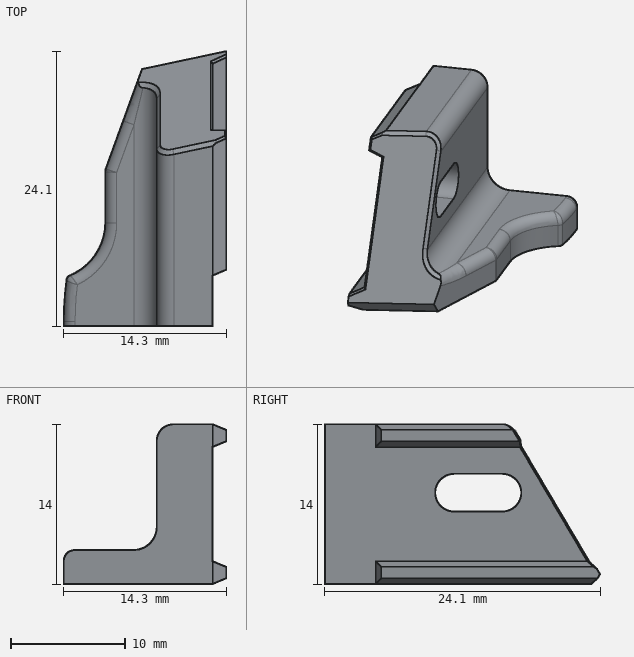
import cadquery as cq
import math

length = 24.1
height = 14.0
back_x = 13.05
wall_thickness = 4.91
flange_thickness = 2.99
wall_x = back_x - wall_thickness
top_radius = 1.5
inner_radius = 2.0
edge_radius = 0.99

nose_straight = 0.43
nose_lean = 0.3
nose_corner_radius = 0.48
waist_x = 3.64
waist_start_y = 9.05
waist_end_y = 13.65
scallop_radius = 4.99
taper_angle = 20.0
waist_corner_radius = 0.6

rib_width = 2.0
rib_depth = 1.2
rib_inset = 0.5
rib_start_y = 4.43
rib_tip_x = back_x + rib_depth

ridge_z = 0.87
ridge_angle = 12.0
lean_angle = 30.0
wall_bevel = 0.31
back_bevel = 0.17

slot_length = 7.52
slot_width = 3.28
slot_y = 13.42
slot_z = 8.0

margin = 7.23
reach = 0.25
overrun = length + margin


def make_section():
    """L-shaped bar along Y with its inner corner and top edge rounded."""
    return (
        cq.Workplane("XZ")
        .moveTo(0, 0)
        .lineTo(back_x, 0)
        .lineTo(back_x, height)
        .lineTo(wall_x + top_radius, height)
        .radiusArc((wall_x, height - top_radius), -top_radius)
        .lineTo(wall_x, flange_thickness + inner_radius)
        .radiusArc((wall_x - inner_radius, flange_thickness), inner_radius)
        .lineTo(0, flange_thickness)
        .close()
        .extrude(-overrun)
    )


def corner_edge(x, y):
    """Selector for the vertical edge that stands at (x, y)."""
    return cq.selectors.BoxSelector((x - reach, y - reach, 0), (x + reach, y + reach, height))


def make_plan():
    """Prism whose left side is the scalloped and tapered free edge."""
    scallop_center_x = waist_x - scallop_radius
    scallop_start_y = waist_start_y - math.sqrt(scallop_radius**2 - (nose_lean - scallop_center_x) ** 2)
    nose_rise = scallop_start_y - nose_straight
    nose_radius = (nose_rise**2 + nose_lean**2) / (2 * nose_lean)
    taper_end_x = waist_x + (overrun - waist_end_y) * math.tan(math.radians(taper_angle))
    plan = (
        cq.Workplane("XY")
        .moveTo(back_x, 0)
        .lineTo(0, 0)
        .lineTo(0, nose_straight)
        .radiusArc((nose_lean, scallop_start_y), nose_radius)
        .radiusArc((waist_x, waist_start_y), -scallop_radius)
        .lineTo(waist_x, waist_end_y)
        .lineTo(taper_end_x, overrun)
        .lineTo(back_x, overrun)
        .close()
        .extrude(height)
    )
    nose_corner = corner_edge(nose_lean, scallop_start_y)
    waist_corner = corner_edge(waist_x, waist_end_y)
    return plan.edges(nose_corner).fillet(nose_corner_radius).edges(waist_corner).fillet(waist_corner_radius)


def round_flange_edge(bracket):
    """Round the upper free edge of the flange, which continues up the inner corner radius."""
    free_edge = cq.selectors.BoxSelector(
        (waist_x - reach, waist_start_y, flange_thickness - reach),
        (waist_x + reach, waist_end_y, flange_thickness + reach),
    )
    nose_edge = cq.selectors.BoxSelector(
        (-reach, 0, flange_thickness - reach), (reach, nose_straight, flange_thickness + reach)
    )
    taper_edge = cq.selectors.BoxSelector(
        (waist_x + reach, waist_end_y + reach, flange_thickness - reach),
        (wall_x - inner_radius - reach, length, flange_thickness + reach),
    )
    return bracket.edges(free_edge + nose_edge + taper_edge).fillet(edge_radius)


def make_rib(base_z):
    """Rib along the back face with sloping sides and a sloping front end."""
    rib_length = overrun - rib_start_y
    draft_angle = math.degrees(math.atan(rib_inset / rib_depth))
    return (
        cq.Workplane("YZ", origin=(back_x, 0, 0))
        .center(rib_start_y + rib_length / 2, base_z + rib_width / 2)
        .rect(rib_length, rib_width)
        .extrude(rib_depth, taper=draft_angle)
    )


def make_end_envelope():
    """Solid filling everything in front of the V-shaped oblique end."""
    slope = math.tan(math.radians(lean_angle))
    bottom = -margin
    top = height + margin
    envelope = (
        cq.Workplane("YZ")
        .polyline([
            (-overrun, bottom),
            (-slope * (ridge_z - bottom), bottom),
            (0, ridge_z),
            (-slope * (top - ridge_z), top),
            (-overrun, top),
        ])
        .close()
        .extrude(overrun, both=True)
    )
    return envelope.rotate((0, 0, 0), (0, 0, 1), ridge_angle).translate((rib_tip_x, length, 0))


def bevel_end(bar):
    """Bevel the outline of the upper end face, over the flange, the wall and the ribs."""
    lean = math.radians(lean_angle)
    turn = math.radians(ridge_angle)
    normal = cq.Vector(
        -math.sin(turn) * math.cos(lean), math.cos(turn) * math.cos(lean), math.sin(lean)
    )
    end_face = cq.selectors.ParallelDirSelector(normal)
    front_edges = cq.selectors.BoxSelector(
        (wall_x - reach, 0, flange_thickness + inner_radius), (back_x - reach, length, height + reach)
    )
    back_edges = cq.selectors.BoxSelector(
        (back_x - reach, 0, rib_width - rib_inset), (rib_tip_x + reach, length, height)
    )
    bar = bar.faces(end_face).edges(front_edges).chamfer(wall_bevel)
    return bar.faces(end_face).edges(back_edges).chamfer(back_bevel)


def make_slot():
    """Round-ended slot through the wall and out of the back."""
    return (
        cq.Workplane("YZ", origin=(wall_x - reach, 0, 0))
        .center(slot_y, slot_z)
        .slot2D(slot_length, slot_width)
        .extrude(wall_thickness + 2 * reach)
    )


bar = make_section()
outline = round_flange_edge(bar.intersect(make_plan()))
for base_z in (0, height - rib_width):
    rib = make_rib(base_z)
    bar = bar.union(rib)
    outline = outline.union(rib)
ended_bar = bevel_end(bar.intersect(make_end_envelope()))
result = ended_bar.intersect(outline).cut(make_slot())